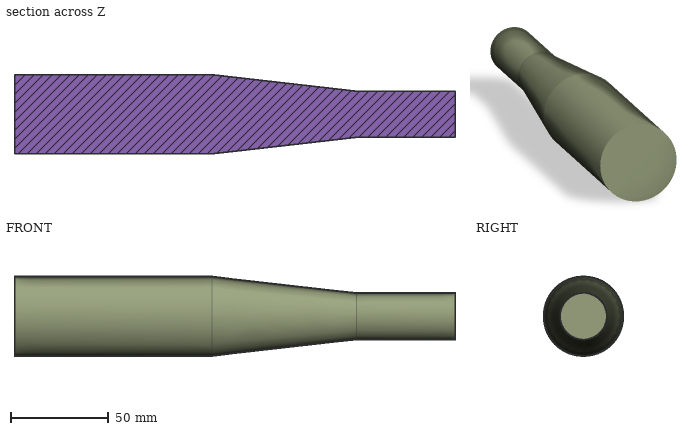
import cadquery as cq

total_length = 227.0
handle_length = 101.5
spigot_length = 51.0
handle_diameter = 41.0
spigot_diameter = 24.0

handle_radius = handle_diameter / 2
spigot_radius = spigot_diameter / 2
taper_end = total_length - spigot_length

half_profile = (
    cq.Workplane("XY")
    .moveTo(0, 0)
    .lineTo(0, handle_radius)
    .lineTo(handle_length, handle_radius)
    .lineTo(taper_end, spigot_radius)
    .lineTo(total_length, spigot_radius)
    .lineTo(total_length, 0)
    .close()
)

result = half_profile.revolve(360, (0, 0, 0), (1, 0, 0))